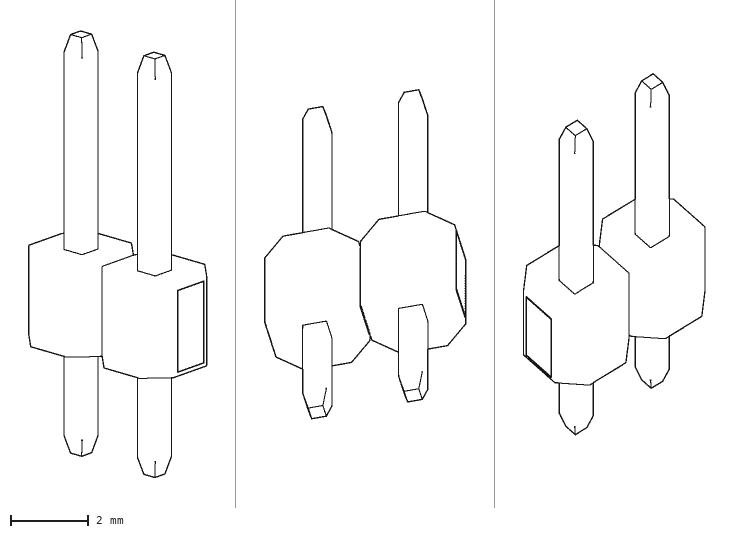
import cadquery as cq

CONTACT_COUNT = 2
PITCH = 2.54

BLOCK_DEPTH = 2.54
BLOCK_HEIGHT = 2.5
CORNER_CUT = 0.64
BLOCK_EDGE_RADIUS = 0.05

PAD_RAISE = 0.02
PAD_DEPTH = 1.01
PAD_HEIGHT = 2.22

PIN_WIDTH = 0.64
PIN_LENGTH = 11.39
PIN_BELOW_BLOCK = 3.05
PIN_EDGE_RADIUS = 0.02
TIP_WIDTH = 0.39
TIP_LENGTH = 0.5

BLOCK_WIDTH = PITCH - 2 * PAD_RAISE
PIN_BOTTOM = -PIN_BELOW_BLOCK
PIN_TOP = PIN_BOTTOM + PIN_LENGTH


def make_block():
    """Octagonal prism with every edge rounded."""
    prism = cq.Workplane("XY").box(BLOCK_WIDTH, BLOCK_DEPTH, BLOCK_HEIGHT, centered=(True, True, False))
    octagon = prism.edges("|Z").chamfer(CORNER_CUT)
    return octagon.edges().fillet(BLOCK_EDGE_RADIUS)


def make_pads():
    """One bar through the block whose two ends stand out as the pads."""
    mid_height = BLOCK_HEIGHT / 2
    return cq.Workplane("XY").box(PITCH, PAD_DEPTH, PAD_HEIGHT).translate((0, 0, mid_height))


def make_taper(base_z, end_z):
    """Pyramid frustum that narrows from the pin's width at base_z to the tip's width at end_z."""
    return (
        cq.Workplane("XY", origin=(0, 0, base_z))
        .rect(PIN_WIDTH, PIN_WIDTH)
        .workplane(offset=end_z - base_z)
        .rect(TIP_WIDTH, TIP_WIDTH)
        .loft(ruled=True)
    )


def make_pin():
    """Square bar with rounded long edges, trimmed to a four-sided taper at each end."""
    bar = (
        cq.Workplane("XY", origin=(0, 0, PIN_BOTTOM))
        .rect(PIN_WIDTH, PIN_WIDTH)
        .extrude(PIN_LENGTH)
        .edges("|Z")
        .fillet(PIN_EDGE_RADIUS)
    )
    shaft_bottom = PIN_BOTTOM + TIP_LENGTH
    shaft_top = PIN_TOP - TIP_LENGTH
    envelope = (
        cq.Workplane("XY", origin=(0, 0, shaft_bottom))
        .rect(PIN_WIDTH, PIN_WIDTH)
        .extrude(shaft_top - shaft_bottom)
        .union(make_taper(shaft_bottom, PIN_BOTTOM))
        .union(make_taper(shaft_top, PIN_TOP))
    )
    return bar.intersect(envelope)


def make_contact(center_x):
    """One complete contact, with its pin on the line X = center_x."""
    contact = make_block().union(make_pads()).union(make_pin())
    return contact.translate((center_x, 0, 0))


first_center_x = -PITCH * (CONTACT_COUNT - 1) / 2
contacts = []
for index in range(CONTACT_COUNT):
    contacts.append(make_contact(first_center_x + index * PITCH).val())

result = cq.Compound.makeCompound(contacts)